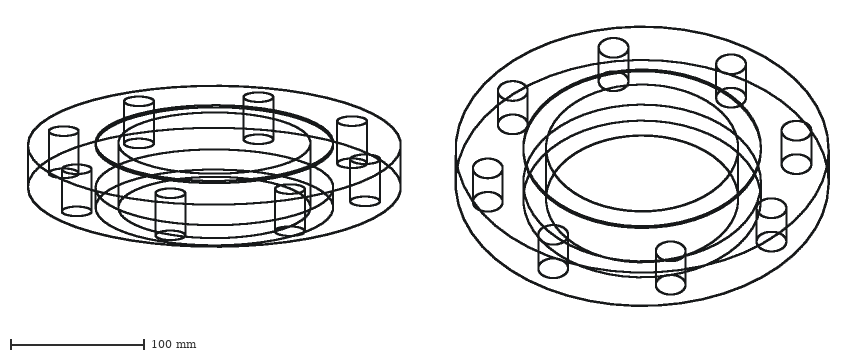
import cadquery as cq

flange_diameter = 279.5
hub_diameter = 178.0
bore_diameter = 144.0
total_height = 50.9
hub_height = 16.0
raised_face_height = 1.7
bolt_circle_diameter = 235.0
bolt_hole_diameter = 22.4
bolt_count = 8

plate_thickness = total_height - hub_height - raised_face_height
half_bolt_pitch = 360.0 / bolt_count / 2


def make_body():
    """Flange plate on a central core that forms the hub and the raised face."""
    core = cq.Workplane("XY").circle(hub_diameter / 2).extrude(total_height)
    plate = (
        cq.Workplane("XY")
        .workplane(offset=hub_height)
        .circle(flange_diameter / 2)
        .extrude(plate_thickness)
    )
    return core.union(plate)


def make_bore():
    return cq.Workplane("XY").circle(bore_diameter / 2).extrude(total_height)


def make_bolt_holes():
    """Through holes placed evenly so that they straddle the X and Y axes."""
    return (
        cq.Workplane("XY")
        .polarArray(bolt_circle_diameter / 2, half_bolt_pitch, 360, bolt_count)
        .circle(bolt_hole_diameter / 2)
        .extrude(total_height)
    )


result = make_body().cut(make_bore()).cut(make_bolt_holes())